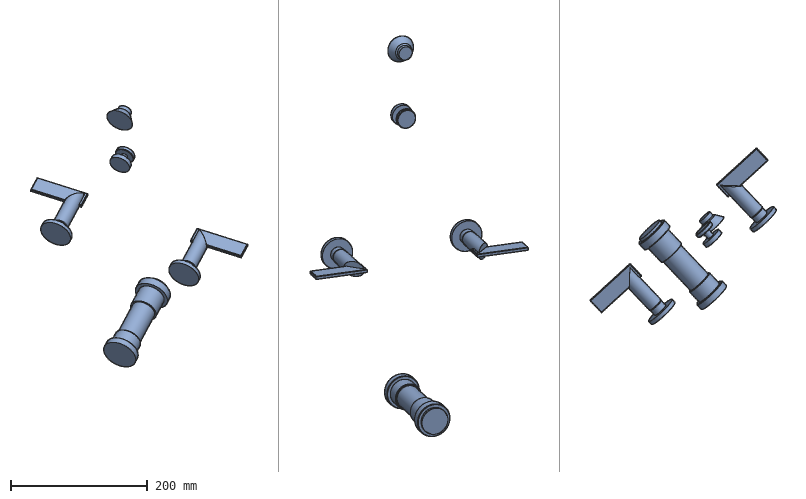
import cadquery as cq


lever_height = 229.0
knob_height = 432.0
cone_height = 533.5

spout_flange_radius = 25.5
spout_collar_radius = 20.0
spout_tube_radius = 18.0
spout_length = 138.5
spout_flange_end = 10.5
spout_near_collar_end = 32.0
spout_tube_end = 91.0
spout_ring_start = 121.5
spout_ring_end = 134.5
spout_edge_chamfer = 0.85

overall_width = 333.0
lever_offset = 101.5
lever_base_radius = 24.0
lever_base_thickness = 6.5
lever_neck_radius = 11.0
lever_neck_end = 16.0
lever_post_radius = 11.5
lever_post_chamfer = 1.0
mitre_low = 61.0
blade_start_y = 62.5
blade_width = 25.0
blade_thickness = 5.0
blade_tip_reach = overall_width / 2 - lever_offset
blade_heel_reach = 15.0
blade_edge_chamfer = 0.85

knob_base_radius = 15.5
knob_base_thickness = 7.0
knob_neck_radius = 5.0
knob_grip_radius = 14.5
knob_grip_start = 18.0
knob_length = 24.5
knob_grip_chamfer = 0.85

cone_base_radius = 20.0
cone_tip_radius = 10.5
cone_taper_radius = 13.0
cone_taper_end = 12.0
cone_tip_start = 14.0
cone_length = 20.0


def cylinder(radius, start, end):
    """Round bar about the Y axis between two distances from the wall."""
    return cq.Workplane("XZ", origin=(0, start, 0)).circle(radius).extrude(start - end)


def chamfer_far_rim(bar, size):
    """Bevel the rim of a round bar at the end away from the wall."""
    return bar.faces(">Y").edges().chamfer(size)


def make_spout():
    flange = cylinder(spout_flange_radius, 0, spout_flange_end)
    near_collar = cylinder(spout_collar_radius, 0, spout_near_collar_end)
    tube = cylinder(spout_tube_radius, 0, spout_length)
    far_collar = cylinder(spout_collar_radius, spout_tube_end, spout_length)
    ring = cylinder(spout_flange_radius, spout_ring_start, spout_ring_end)

    spout = tube.union(far_collar)
    for stepped_bar in (flange, near_collar, ring):
        spout = spout.union(chamfer_far_rim(stepped_bar, spout_edge_chamfer))
    return spout


def make_lever():
    """Lever with its blade pointing along +X from the post axis."""
    base = cylinder(lever_base_radius, 0, lever_base_thickness)
    neck = cylinder(lever_neck_radius, 0, lever_neck_end)

    mitre_high = mitre_low + 2 * lever_post_radius
    mitre_outline = [
        (-lever_post_radius, lever_neck_end),
        (lever_post_radius, lever_neck_end),
        (lever_post_radius, mitre_low),
        (-lever_post_radius, mitre_high),
    ]
    mitre = cq.Workplane("XY").polyline(mitre_outline).close().extrude(lever_post_radius, both=True)
    post = cylinder(lever_post_radius, lever_neck_end, mitre_high)
    post = post.faces("<Y").edges().chamfer(lever_post_chamfer).intersect(mitre)

    blade = cq.Workplane("XY").box(
        blade_heel_reach + blade_tip_reach,
        blade_width,
        blade_thickness,
        centered=(False, False, True),
    ).translate((-blade_heel_reach, blade_start_y, 0))
    blade = blade.faces("<Z or >Z").edges().chamfer(blade_edge_chamfer)
    return base.union(neck).union(post).union(blade)


def make_knob():
    base = cylinder(knob_base_radius, 0, knob_base_thickness)
    neck = cylinder(knob_neck_radius, 0, knob_length)
    grip = cylinder(knob_grip_radius, knob_grip_start, knob_length)
    grip = grip.faces("<Y or >Y").edges().chamfer(knob_grip_chamfer)
    knob = base.union(neck).union(grip)
    return knob.translate((0, 0, knob_height))


def make_cone():
    outline = [
        (0, 0),
        (cone_base_radius, 0),
        (cone_taper_radius, cone_taper_end),
        (cone_tip_radius, cone_tip_start),
        (cone_tip_radius, cone_length),
        (0, cone_length),
    ]
    cone = cq.Workplane("XY").polyline(outline).close().revolve(360, (0, 0, 0), (0, 1, 0))
    return cone.translate((0, 0, cone_height))


spout = make_spout()
knob = make_knob()
cone = make_cone()

levers = []
for side in (-1, 1):
    lever = make_lever()
    if side < 0:
        lever = lever.mirror("YZ")
    levers.append(lever.translate((side * lever_offset, 0, lever_height)).val())

result = cq.Compound.makeCompound([spout.val(), *levers, knob.val(), cone.val()])